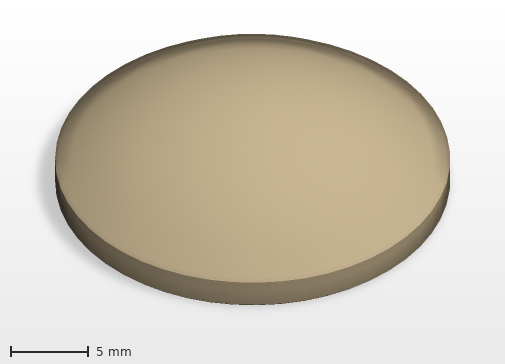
import cadquery as cq
import math

diameter = 25.4
center_thickness = 7.09
dome_radius = 18.36
top_bevel = 0.15
bottom_bevel = 0.15

rim_radius = diameter / 2
dome_edge_radius = rim_radius - top_bevel
flat_radius = rim_radius - bottom_bevel


def dome_height(radius):
    """Height of the spherical face at a distance from the axis."""
    sag = dome_radius - math.sqrt(dome_radius**2 - radius**2)
    return center_thickness - sag


dome_edge_height = dome_height(dome_edge_radius)

half_section = (
    cq.Workplane("XZ")
    .lineTo(flat_radius, 0)
    .lineTo(rim_radius, bottom_bevel)
    .lineTo(rim_radius, dome_edge_height - top_bevel)
    .lineTo(dome_edge_radius, dome_edge_height)
    .threePointArc(
        (dome_edge_radius / 2, dome_height(dome_edge_radius / 2)),
        (0, center_thickness),
    )
    .close()
)

result = half_section.revolve(360, (0, 0, 0), (0, 1, 0))